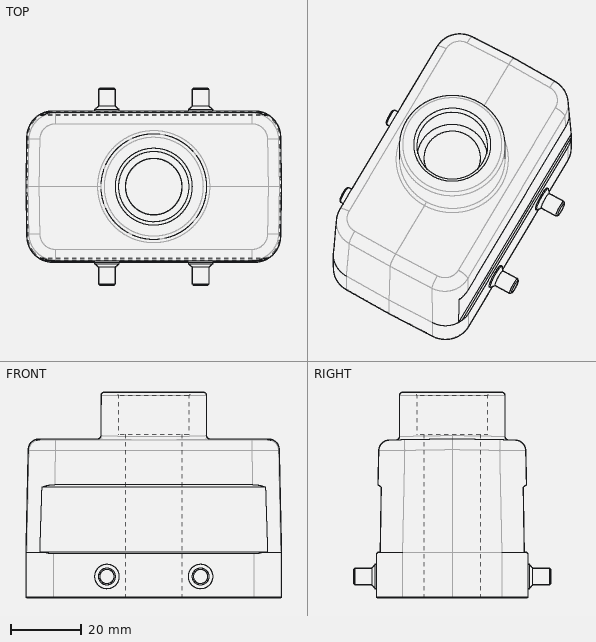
import cadquery as cq
import math

length = 72.6
skirt_width = 43.05
skirt_height = 13.0
hood_draft_angle = 1.25
body_height = 45.2
corner_radius = 7.55
hood_edge_radius = 3.1
parting_slope = math.tan(math.radians(1))

edge_margin = 0.7
parting_margin = 0.1
foot_chamfer = 0.35

panel_bottom = 13.15
panel_top = 31.5
panel_bottom_y = 20.5
panel_top_y = 20.2
panel_ceiling_rise = 1.0
ledge_chamfer = 0.5

total_height = 58.5
collar_diameter = 30.0
collar_base_radius = 0.95
collar_rim_radius = 0.95
bore_diameter = 20.0
bore_chamfer = 0.95
bore_floor = 46.5
through_diameter = 16

pin_span = 56.0
pin_diameter = 4.8
pin_tip_diameter = 4.0
pin_boss_diameter = 7.0
pin_boss_height = 0.35
pin_cone_height = 0.95
pin_x = 13.3
pin_z = 6.2


def plan_outline():
    """Sharp plan outline; each end bulges slightly to a point on the parting plane y = 0."""
    end_x = length / 2
    side_y = skirt_width / 2
    corner_x = end_x - side_y * parting_slope
    points = [
        (end_x, 0),
        (corner_x, side_y),
        (-corner_x, side_y),
        (-end_x, 0),
        (-corner_x, -side_y),
        (corner_x, -side_y),
    ]
    return cq.Workplane("XY").polyline(points).close()


def edges_between(solid, low_z, high_z):
    """Edges centred between two heights, without those on the parting plane y = 0."""
    band = cq.selectors.BoxSelector((-length, -length, low_z), (length, length, high_z))
    parting = cq.selectors.BoxSelector((-length, -parting_margin, low_z), (length, parting_margin, high_z))
    return solid.edges(band - parting)


def make_roof_cutter():
    """Everything above a roof that falls from a ridge on y = 0 towards both long sides."""
    wall_y = length / 2
    eave_z = body_height - wall_y * parting_slope
    profile = [
        (0, body_height),
        (wall_y, eave_z),
        (wall_y, total_height + edge_margin),
        (-wall_y, total_height + edge_margin),
        (-wall_y, eave_z),
    ]
    return cq.Workplane("YZ").polyline(profile).close().extrude(length, both=True)


def make_skirt():
    skirt = plan_outline().extrude(skirt_height)
    skirt = edges_between(skirt, edge_margin, skirt_height - edge_margin).fillet(corner_radius)
    return skirt.faces("<Z").chamfer(foot_chamfer)


def make_collar():
    """Round collar with a rounded rim; its root reaches down into the hood."""
    collar = (
        cq.Workplane("XY", origin=(0, 0, skirt_height))
        .circle(collar_diameter / 2)
        .extrude(total_height - skirt_height)
    )
    return collar.faces(">Z").edges().fillet(collar_rim_radius)


def make_hood():
    """Drafted hood with its collar; one half is rounded, then mirrored across the parting plane."""
    shell = plan_outline().extrude(total_height - skirt_height, taper=hood_draft_angle)
    shell = shell.translate((0, 0, skirt_height)).cut(make_roof_cutter())
    half_space = cq.Workplane("XY").box(2 * length, length, 2 * total_height, centered=(True, False, True))

    half = shell.intersect(half_space)
    half = edges_between(half, skirt_height + edge_margin, body_height - edge_margin).fillet(corner_radius)
    half = edges_between(half, body_height - edge_margin, body_height).fillet(hood_edge_radius)

    half = half.union(make_collar().intersect(half_space))
    reach = collar_diameter / 2 + parting_margin
    foot_zone = cq.selectors.BoxSelector(
        (-reach, parting_margin, body_height - edge_margin),
        (reach, reach, body_height + edge_margin),
    )
    half = half.edges(foot_zone).fillet(collar_base_radius)
    return half.union(half.mirror("XZ"))


def make_panel_cutter():
    """Full-length cutter for the panel on the -Y side; the rounded corners limit its length."""
    wall_y = skirt_width / 2
    chamfer_bottom = panel_bottom - ledge_chamfer
    profile = [
        (-panel_bottom_y, panel_bottom),
        (-panel_top_y, panel_top),
        (-wall_y, panel_top + panel_ceiling_rise),
        (-wall_y, chamfer_bottom),
        (-wall_y + ledge_chamfer, panel_bottom),
    ]
    return cq.Workplane("YZ").polyline(profile).close().extrude(length / 2, both=True)


def make_bore():
    bore_radius = bore_diameter / 2
    through_radius = through_diameter / 2
    profile = [
        (0, 0),
        (through_radius, 0),
        (through_radius, bore_floor),
        (bore_radius, bore_floor),
        (bore_radius, total_height - bore_chamfer),
        (bore_radius + bore_chamfer, total_height),
        (0, total_height),
    ]
    return cq.Workplane("XZ").polyline(profile).close().revolve(360, (0, 0, 0), (0, 1, 0))


def make_pin_pair(x):
    """Both pins at one X position, joined through the body, with boss, cone and chamfered tips."""
    wall = skirt_width / 2
    tip = pin_span / 2
    tip_chamfer = (pin_diameter - pin_tip_diameter) / 2
    cone_start = wall + pin_boss_height
    profile = [
        (0, 0),
        (pin_boss_diameter / 2, 0),
        (pin_boss_diameter / 2, cone_start),
        (pin_diameter / 2, cone_start + pin_cone_height),
        (pin_diameter / 2, tip - tip_chamfer),
        (pin_tip_diameter / 2, tip),
        (0, tip),
    ]
    pin = cq.Workplane("XY").polyline(profile).close().revolve(360, (0, 0, 0), (0, 1, 0))
    return pin.union(pin.mirror("XZ")).translate((x, 0, pin_z))


cutter = make_panel_cutter()
body = make_skirt().union(make_hood()).cut(cutter).cut(cutter.mirror("XZ"))
for x in (-pin_x, pin_x):
    body = body.union(make_pin_pair(x))
result = body.cut(make_bore())